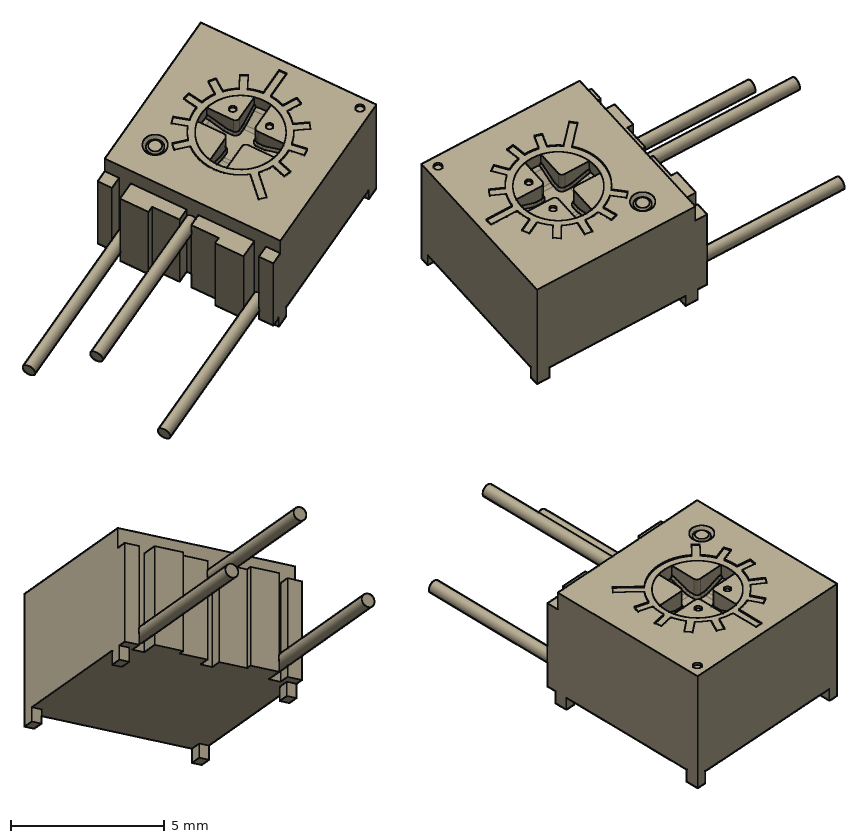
import cadquery as cq

body_width = 6.6
body_depth = 6.29
total_height = 4.7
total_depth = 12.58
foot_height = 0.5
back_y = body_depth / 2
front_y = -body_depth / 2

rib_drop = 0.7
rib_reach = 0.47
boss_reach = 0.7
boss_width = 1.07
pin_slot_width = 0.44

foot_width = 0.36
back_foot_depth = 0.5
front_foot_depth = 0.49
front_foot_overhang = 0.1

pin_diameter = 0.48
pin_pitch = 2.54
center_pin_drop = 1.16
outer_pin_drop = 3.7

dial_depth = 0.05
dial_radius = 1.74
tick_width = 0.28
short_tick_reach = 2.28
long_tick_reach = 2.77
tick_step = 27
tick_count = 11
long_ticks = (0, 5)

rotor_radius = 1.48
rotor_height = 1.13
slot_width = 0.63
arm_count = 4
quarter_turn = 360 / arm_count
slot_corner_radius = 0.15
slot_depth = 0.9
dot_radius = 0.13
dot_offset = 0.69
dot_depth = 0.1

contact_floor_depth = 0.78
contact_edge_width = 0.057
contact_edge_height = 0.13
ramp_start = 0.73
ramp_end = 1.4
ramp_rise = 0.25
ramp_bend_radius = 0.43

corner_mark_radius = 0.15
corner_mark_depth = 0.1
corner_mark_x = 2.9
corner_mark_y = 2.75
ring_x = -2.15
ring_y = -1.85
ring_outer_radius = 0.42
ring_valley_radius = 0.3
ring_inner_radius = 0.23
ring_depth = 0.11
ring_middle_depth = 0.05

pick_margin = 0.01

dial_z = total_height - dial_depth
rotor_bottom_z = dial_z - rotor_height
rib_top_z = total_height - rib_drop


def block(x0, x1, y0, y1, z0, z1):
    """Box between two opposite corners."""
    return cq.Workplane("XY").box(x1 - x0, y1 - y0, z1 - z0, centered=False).translate((x0, y0, z0))


def disc(radius, z0, z1, x=0.0, y=0.0):
    """Upright cylinder between two heights."""
    return cq.Workplane("XY", origin=(x, y, z0)).circle(radius).extrude(z1 - z0)


def cross(z0, z1):
    """Cross-shaped prism with rounded inner corners, longer than the rotor is wide."""
    arm_length = 2 * rotor_radius + slot_width
    arms = cq.Workplane("XY", origin=(0, 0, z0)).rect(arm_length, slot_width).extrude(z1 - z0)
    arms = arms.union(cq.Workplane("XY", origin=(0, 0, z0)).rect(slot_width, arm_length).extrude(z1 - z0))
    reach = slot_width / 2 + pick_margin
    inner_corners = cq.selectors.BoxSelector((-reach, -reach, z0), (reach, reach, z1))
    return arms.edges("|Z").edges(inner_corners).fillet(slot_corner_radius)


def pin_positions():
    """X and Z of each pin axis."""
    outer_z = total_height - outer_pin_drop
    return [
        (-pin_pitch, outer_z),
        (0.0, total_height - center_pin_drop),
        (pin_pitch, outer_z),
    ]


def make_pin(x, z):
    pin_length = total_depth - body_depth
    return cq.Workplane("XZ", origin=(x, front_y, z)).circle(pin_diameter / 2).extrude(pin_length)


def front_ribs():
    """Outer ribs and stepped bosses, mirrored about X = 0, with slots for the pins between them."""
    half_slot = pin_slot_width / 2
    rib_y = front_y - rib_reach
    boss_start = pin_pitch - half_slot
    ribs = block(pin_pitch + half_slot, body_width / 2, rib_y, front_y, foot_height, rib_top_z)
    ribs = ribs.union(block(half_slot, boss_start, rib_y, front_y, foot_height, rib_top_z))
    ribs = ribs.union(block(boss_start - boss_width, boss_start, front_y - boss_reach, front_y,
                            foot_height, rib_top_z))
    return ribs.union(ribs.mirror("YZ"))


def feet():
    """Four corner feet."""
    outer_x = body_width / 2
    inner_x = outer_x - foot_width
    front_start = front_y - front_foot_overhang
    right = block(inner_x, outer_x, back_y - back_foot_depth, back_y, 0, foot_height)
    right = right.union(block(inner_x, outer_x, front_start, front_start + front_foot_depth, 0, foot_height))
    return right.union(right.mirror("YZ"))


def dial_recess():
    """Shallow round recess with radiating ticks."""
    recess = disc(dial_radius, dial_z, total_height)
    for step in range(-(tick_count // 2), tick_count // 2 + 1):
        reach = long_tick_reach if step in long_ticks else short_tick_reach
        tick = block(-tick_width / 2, tick_width / 2, 0, reach, dial_z, total_height)
        recess = recess.union(tick.rotate((0, 0, 0), (0, 0, 1), -step * tick_step))
    return recess


def ring_groove():
    """V-shaped ring groove around a sunken flat middle."""
    section = [
        (0, 0),
        (ring_outer_radius, 0),
        (ring_valley_radius, -ring_depth),
        (ring_inner_radius, -ring_middle_depth),
        (0, -ring_middle_depth),
    ]
    groove = cq.Workplane("XZ").polyline(section).close().revolve(360, (0, 0, 0), (0, 1, 0))
    return groove.translate((ring_x, ring_y, total_height))


def make_housing():
    half_width = body_width / 2
    housing = block(-half_width, half_width, front_y, back_y, foot_height, total_height)
    housing = housing.union(front_ribs()).union(feet())
    housing = housing.cut(dial_recess()).cut(ring_groove())
    housing = housing.cut(disc(rotor_radius, rotor_bottom_z, total_height))
    housing = housing.cut(disc(corner_mark_radius, total_height - corner_mark_depth, total_height,
                               corner_mark_x, corner_mark_y))
    for x, z in pin_positions():
        housing = housing.cut(make_pin(x, z))
    return housing


def make_rotor():
    rotor = disc(rotor_radius, rotor_bottom_z, dial_z)
    rotor = rotor.cut(cross(dial_z - slot_depth, dial_z))
    for side in (-1, 1):
        rotor = rotor.cut(disc(dot_radius, dial_z - dot_depth, dial_z, side * dot_offset, dot_offset))
    return rotor


def ramp_wedge():
    """Sloping rise under the +X arm, with rounded bends at both ends of the slope."""
    floor_z = dial_z - contact_floor_depth
    end_x = rotor_radius + slot_width
    base_z = dial_z - slot_depth
    top_z = floor_z + ramp_rise
    outline = [
        (slot_width, base_z),
        (slot_width, floor_z),
        (ramp_start, floor_z),
        (ramp_end, top_z),
        (end_x, top_z),
        (end_x, base_z),
    ]
    wedge = cq.Workplane("XZ", origin=(0, slot_width, 0)).polyline(outline).close().extrude(2 * slot_width)
    for x, z in ((ramp_start, floor_z), (ramp_end, top_z)):
        wedge = wedge.edges(cq.selectors.NearestToPointSelector((x, 0, z))).fillet(ramp_bend_radius)
    return wedge


def slot_space():
    """Open space above the contact: the cross slot with ramped arms and sloping lower edges."""
    floor_z = dial_z - contact_floor_depth
    space = cross(floor_z, dial_z)
    wedge = ramp_wedge()
    for turn in range(arm_count):
        space = space.cut(wedge.rotate((0, 0, 0), (0, 0, 1), quarter_turn * turn))
    first_bend = cq.selectors.BoxSelector(
        (-ramp_start, -ramp_start, floor_z - pick_margin),
        (0, 0, floor_z + pick_margin),
    )
    lower_edge = space.edges(first_bend).edges("%CIRCLE")
    chamfered = lower_edge.chamfer(contact_edge_height, contact_edge_width)
    for turn in range(arm_count):
        space = space.intersect(chamfered.rotate((0, 0, 0), (0, 0, 1), quarter_turn * turn))
    return space


def make_contact():
    contact = cross(dial_z - slot_depth, dial_z).cut(slot_space())
    return contact.intersect(disc(rotor_radius, rotor_bottom_z, dial_z))


housing = make_housing()
rotor = make_rotor()
contact = make_contact()
pins = [make_pin(x, z) for x, z in pin_positions()]

result = cq.Compound.makeCompound([
    housing.val(),
    rotor.val(),
    contact.val(),
    *[pin.val() for pin in pins],
])